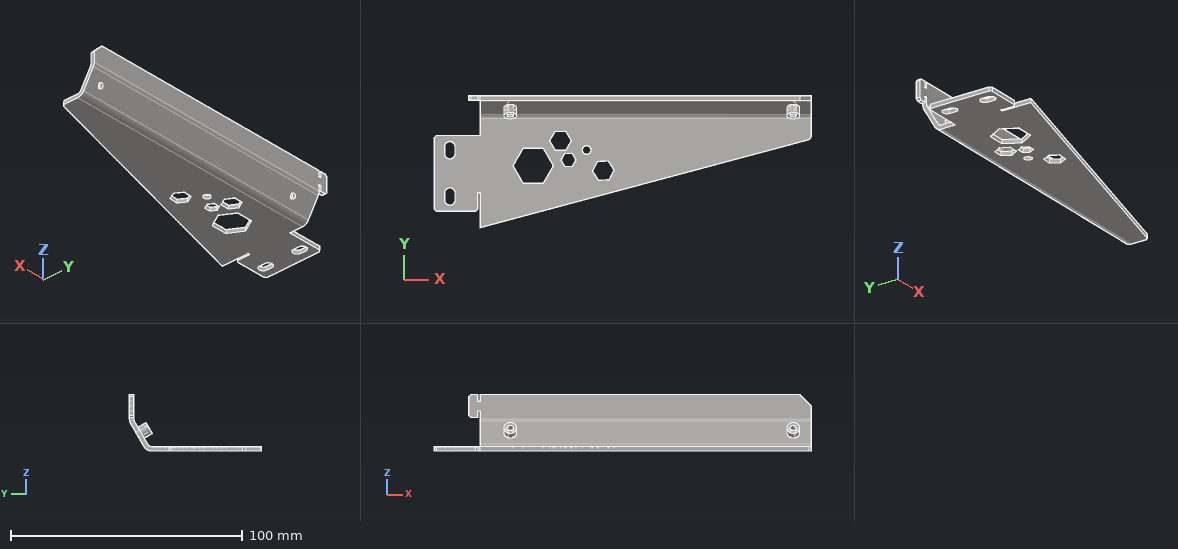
import cadquery as cq
import math

SHEET = 2.0
BEND_RADIUS = 2.0
OUTER_RADIUS = BEND_RADIUS + SHEET
OVERALL_LENGTH = 163.0
OVERALL_WIDTH = 57.04
OVERALL_HEIGHT = 24.53
BODY_LENGTH = 143.1
LOWER_BEND = math.radians(60)
UPPER_BEND = math.radians(30)
WEB_LENGTH = 11.5

WEB_DIRECTION = (math.cos(LOWER_BEND), math.sin(LOWER_BEND))
WEB_NORMAL = (-math.sin(LOWER_BEND), math.cos(LOWER_BEND))

RELIEF = 1.0
CORNER_CHAMFER = 1.0
TAB_LENGTH = OVERALL_LENGTH - BODY_LENGTH
TAB_TOP = -7.4
TAB_WIDTH = 32.8
TAB_RELIEF_DEPTH = 8.0
PLATE_END_Y = -9.0

SLOT_LENGTH = 7.4
SLOT_WIDTH = 4.4
SLOT_SPACING = 20.0
SLOT_COUNT = 2
SLOT_INSET = 6.8

HEX_HOLES = [
    (22.9, -20.5, 15.0, 0),
    (34.7, -9.7, 8.0, 0),
    (38.15, -18.0, 5.5, 0),
    (53.2, -22.6, 8.0, 3),
]
ROUND_HOLE_CENTRE = (46.0, -13.7)
ROUND_HOLE_DIAMETER = 3.6

FLANGE_CHAMFER = 5.0
HOOK_LENGTH = 4.95
HOOK_HEIGHT = 10.1
HOOK_NOTCH_DEPTH = 2.9

STANDOFF_DIAMETER = 5.5
STANDOFF_BORE = 2.7
STANDOFF_HEIGHT = 4.0
STANDOFF_X = 13.0
STANDOFF_SPACING = 122.3
STANDOFF_COUNT = 2


def along(point, direction, distance):
    return (point[0] + direction[0] * distance, point[1] + direction[1] * distance)


LOWER_CENTRE = (0.0, OUTER_RADIUS)
WEB_INNER_START = along(LOWER_CENTRE, WEB_NORMAL, -BEND_RADIUS)
WEB_OUTER_START = along(LOWER_CENTRE, WEB_NORMAL, -OUTER_RADIUS)
WEB_INNER_END = along(WEB_INNER_START, WEB_DIRECTION, WEB_LENGTH)
WEB_OUTER_END = along(WEB_OUTER_START, WEB_DIRECTION, WEB_LENGTH)
UPPER_CENTRE = along(LOWER_CENTRE, WEB_DIRECTION, WEB_LENGTH)
FLANGE_INNER_Y = UPPER_CENTRE[0] + BEND_RADIUS
FLANGE_OUTER_Y = FLANGE_INNER_Y + SHEET
FLANGE_BASE_Z = UPPER_CENTRE[1]
PLATE_FRONT_Y = FLANGE_OUTER_Y - OVERALL_WIDTH
WEB_MIDDLE = along(WEB_INNER_START, WEB_DIRECTION, WEB_LENGTH / 2)


def point_on_bend(centre, radius, angle):
    """Point on a bend, with the angle measured from straight down towards +Y."""
    return (centre[0] + radius * math.sin(angle), centre[1] - radius * math.cos(angle))


def make_bent_web():
    """Sloping web with both bends, swept along the length of the sheet."""
    lower_middle = LOWER_BEND / 2
    upper_middle = LOWER_BEND + UPPER_BEND / 2
    return (
        cq.Workplane("YZ")
        .moveTo(0, 0)
        .threePointArc(point_on_bend(LOWER_CENTRE, OUTER_RADIUS, lower_middle), WEB_OUTER_START)
        .lineTo(*WEB_OUTER_END)
        .threePointArc(
            point_on_bend(UPPER_CENTRE, OUTER_RADIUS, upper_middle), (FLANGE_OUTER_Y, FLANGE_BASE_Z)
        )
        .lineTo(FLANGE_INNER_Y, FLANGE_BASE_Z)
        .threePointArc(point_on_bend(UPPER_CENTRE, BEND_RADIUS, upper_middle), WEB_INNER_END)
        .lineTo(*WEB_INNER_START)
        .threePointArc(point_on_bend(LOWER_CENTRE, BEND_RADIUS, lower_middle), (0, SHEET))
        .close()
        .extrude(BODY_LENGTH)
    )


def make_plate():
    """Tapered flat plate with its slotted tab and the holes."""
    tab_bottom = TAB_TOP - TAB_WIDTH
    plate = (
        cq.Workplane("XY")
        .polyline([(0, 0), (0, PLATE_FRONT_Y), (BODY_LENGTH, PLATE_END_Y), (BODY_LENGTH, 0)])
        .close()
        .extrude(SHEET)
        .edges(cq.selectors.NearestToPointSelector((BODY_LENGTH, PLATE_END_Y, SHEET / 2)))
        .chamfer(CORNER_CHAMFER)
    )
    tab = (
        cq.Workplane("XY")
        .polyline([
            (0, TAB_TOP),
            (-TAB_LENGTH, TAB_TOP),
            (-TAB_LENGTH, tab_bottom),
            (-RELIEF, tab_bottom),
            (-RELIEF, tab_bottom + TAB_RELIEF_DEPTH),
            (0, tab_bottom + TAB_RELIEF_DEPTH),
        ])
        .close()
        .extrude(SHEET)
    )
    tab = tab.edges("|Z and <X").chamfer(CORNER_CHAMFER)
    tab = tab.edges(
        cq.selectors.NearestToPointSelector((-RELIEF, tab_bottom, SHEET / 2))
    ).chamfer(CORNER_CHAMFER)
    plate = plate.union(tab)

    slots = (
        cq.Workplane("XY")
        .center(SLOT_INSET - TAB_LENGTH, TAB_TOP - TAB_WIDTH / 2)
        .rarray(1, SLOT_SPACING, 1, SLOT_COUNT)
        .slot2D(SLOT_LENGTH, SLOT_WIDTH, 90)
        .extrude(SHEET)
    )
    round_hole = cq.Workplane("XY").center(*ROUND_HOLE_CENTRE).circle(ROUND_HOLE_DIAMETER / 2).extrude(SHEET)
    plate = plate.cut(slots).cut(round_hole)
    for x, y, across_flats, rotation in HEX_HOLES:
        across_corners = across_flats / math.cos(math.pi / 6)
        hexagon = (
            cq.Workplane("XY")
            .transformed(offset=(x, y, 0), rotate=(0, 0, rotation))
            .polygon(6, across_corners)
            .extrude(SHEET)
        )
        plate = plate.cut(hexagon)
    return plate


def make_flange():
    """Upright flange with the chamfered right corner and the hook at the left end."""
    hook_bottom = OVERALL_HEIGHT - HOOK_HEIGHT
    notch_floor = OVERALL_HEIGHT - HOOK_NOTCH_DEPTH
    notch_ceiling = hook_bottom + HOOK_NOTCH_DEPTH
    flange = (
        cq.Workplane("XZ", origin=(0, FLANGE_OUTER_Y, 0))
        .polyline([
            (0, FLANGE_BASE_Z),
            (BODY_LENGTH, FLANGE_BASE_Z),
            (BODY_LENGTH, OVERALL_HEIGHT - FLANGE_CHAMFER),
            (BODY_LENGTH - FLANGE_CHAMFER, OVERALL_HEIGHT),
            (0, OVERALL_HEIGHT),
            (0, notch_floor),
            (-RELIEF, notch_floor),
            (-RELIEF, OVERALL_HEIGHT),
            (-HOOK_LENGTH, OVERALL_HEIGHT),
            (-HOOK_LENGTH, hook_bottom),
            (-RELIEF, hook_bottom),
            (-RELIEF, notch_ceiling),
            (0, notch_ceiling),
        ])
        .close()
        .extrude(SHEET)
    )
    return flange.edges("|Y and <X").chamfer(CORNER_CHAMFER)


def standoff_plane(index):
    """Plane on the inside face of the web, at the foot of one standoff."""
    return cq.Plane(
        origin=(STANDOFF_X + index * STANDOFF_SPACING, *WEB_MIDDLE),
        xDir=(1, 0, 0),
        normal=(0, *WEB_NORMAL),
    )


def make_standoff(index):
    return (
        cq.Workplane(standoff_plane(index))
        .circle(STANDOFF_DIAMETER / 2)
        .circle(STANDOFF_BORE / 2)
        .extrude(STANDOFF_HEIGHT)
    )


def make_bracket():
    bracket = make_plate().union(make_bent_web()).union(make_flange())
    for index in range(STANDOFF_COUNT):
        screw_hole = cq.Workplane(standoff_plane(index)).circle(STANDOFF_BORE / 2).extrude(-SHEET)
        bracket = bracket.cut(screw_hole)
    return bracket


bracket = make_bracket()
standoffs = [make_standoff(index) for index in range(STANDOFF_COUNT)]

result = cq.Compound.makeCompound([bracket.val(), *[standoff.val() for standoff in standoffs]])